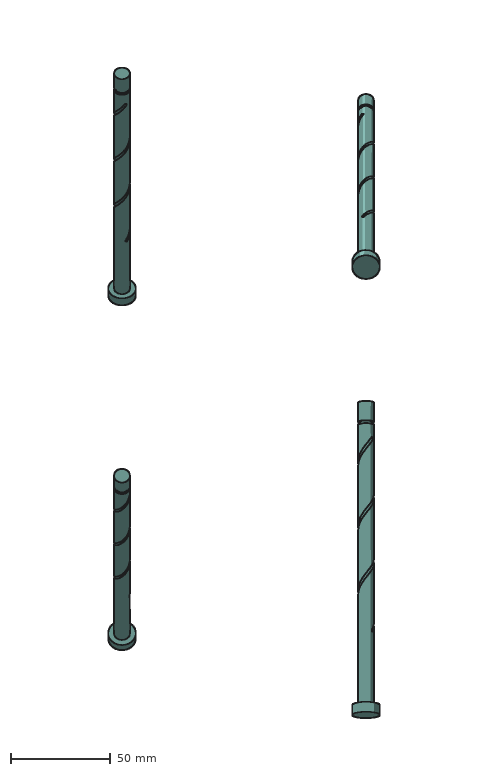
import cadquery as cq

total_length = 162.0
head_diameter = 14.0
head_height = 5.2
shank_diameter = 8.1

tip_length = 10.0
ring_width = 1.5
ring_depth = 1.0
ring_cutter_overlap = 0.5

spiral_pitch = 33.4
spiral_turns = 3
spiral_start_height = 43.1
spiral_cutter_radius = 1.0
spiral_depth = 0.3

shank_radius = shank_diameter / 2


def make_pin():
    head = cq.Workplane("XY").circle(head_diameter / 2).extrude(head_height)
    shank = cq.Workplane("XY").circle(shank_radius).extrude(total_length)
    return head.union(shank)


def make_ring_cutter():
    ring_bottom = total_length - tip_length - ring_width
    return (
        cq.Workplane("XY", origin=(0, 0, ring_bottom))
        .circle(shank_radius + ring_cutter_overlap)
        .circle(shank_radius - ring_depth)
        .extrude(ring_width)
    )


def make_spiral_cutter():
    section_center = shank_radius - spiral_depth + spiral_cutter_radius
    path = cq.Wire.makeHelix(spiral_pitch, spiral_pitch * spiral_turns, section_center)
    start_direction = path.tangentAt(0)
    start_plane = cq.Plane(origin=(section_center, 0, 0), xDir=(1, 0, 0), normal=start_direction)
    return (
        cq.Workplane(start_plane)
        .circle(spiral_cutter_radius)
        .sweep(cq.Workplane(path), isFrenet=True)
        .translate((0, 0, spiral_start_height))
    )


result = make_pin().cut(make_ring_cutter()).cut(make_spiral_cutter())